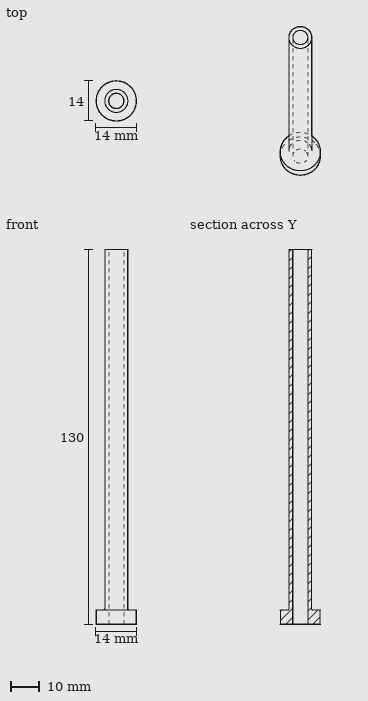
import cadquery as cq

total_length = 130.0
flange_diameter = 14.0
flange_height = 5.0
tube_diameter = 8.0
bore_diameter = 5.2
root_fillet_radius = 0.5


def make_profile():
    """Half section in the XZ plane, from the bore wall outwards."""
    bore_radius = bore_diameter / 2
    tube_radius = tube_diameter / 2
    flange_radius = flange_diameter / 2
    fillet_start = (tube_radius + root_fillet_radius, flange_height)
    fillet_end = (tube_radius, flange_height + root_fillet_radius)
    return (
        cq.Workplane("XZ")
        .moveTo(bore_radius, 0)
        .lineTo(flange_radius, 0)
        .lineTo(flange_radius, flange_height)
        .lineTo(*fillet_start)
        .radiusArc(fillet_end, root_fillet_radius)
        .lineTo(tube_radius, total_length)
        .lineTo(bore_radius, total_length)
        .close()
    )


result = make_profile().revolve(360, (0, 0, 0), (0, 1, 0))